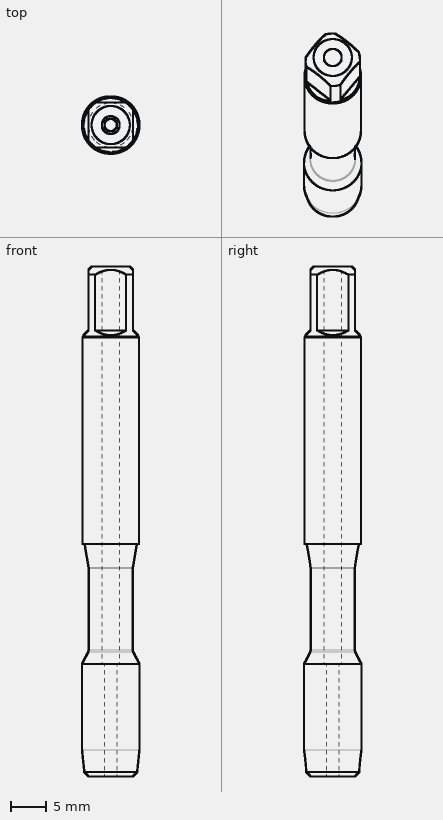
import cadquery as cq

TOTAL_LENGTH = 72.0
LEAD_CHAMFER_TOP_Z = 0.65
LEAD_TOP_Z = 3.75
HEAD_TOP_Z = 15.9
NECK_BOTTOM_Z = 17.7
NECK_TOP_Z = 29.45
SHANK_BOTTOM_Z = 32.8
SHANK_TOP_Z = 62.0
FLATS_BOTTOM_Z = 63.0

HEAD_DIAMETER = 8.1
LEAD_DIAMETER = 7.5
TIP_DIAMETER = 6.3
NECK_DIAMETER = 6.3
UPPER_TAPER_DIAMETER = 7.4
SHANK_DIAMETER = 8.0
DRIVE_DIAMETER = 7.7
DRIVE_END_DIAMETER = 5.4
SHANK_BORE_DIAMETER = 2.5
HEAD_BORE_DIAMETER = 1.7

SQUARE_WIDTH = 6.3
NECK_FILLET = 0.7
DRIVE_SIDES = 4

SHANK_CHAMFER = (SHANK_DIAMETER - DRIVE_DIAMETER) / 2
DRIVE_CHAMFER = (DRIVE_DIAMETER - DRIVE_END_DIAMETER) / 2


def revolved_body(profile):
    """Revolve (diameter, height) pairs about the tool axis."""
    points = [(diameter / 2, z) for diameter, z in profile]
    axis_points = [(0, points[0][1]), *points, (0, points[-1][1])]
    return cq.Workplane("XZ").polyline(axis_points).close().revolve(360, (0, 0), (0, 1))


def bore(diameter, bottom_z, top_z):
    """Round cutter along the tool axis."""
    return cq.Workplane("XY").workplane(offset=bottom_z).circle(diameter / 2).extrude(top_z - bottom_z)


def drive_flat_cutter():
    """Cutter for one flat, with a 45-degree run-out down to the shank."""
    inner_x = SQUARE_WIDTH / 2
    outer_x = SHANK_DIAMETER
    return (
        cq.Workplane("XZ")
        .moveTo(inner_x, TOTAL_LENGTH)
        .lineTo(inner_x, FLATS_BOTTOM_Z)
        .lineTo(outer_x, FLATS_BOTTOM_Z - (outer_x - inner_x))
        .lineTo(outer_x, TOTAL_LENGTH)
        .close()
        .extrude(SHANK_DIAMETER, both=True)
    )


def make_head():
    """Cylindrical cutting head with a tapered lead and a chamfered tip."""
    blank = revolved_body([
        (TIP_DIAMETER, 0),
        (LEAD_DIAMETER, LEAD_CHAMFER_TOP_Z),
        (HEAD_DIAMETER, LEAD_TOP_Z),
        (HEAD_DIAMETER, HEAD_TOP_Z),
    ])
    return blank.cut(bore(HEAD_BORE_DIAMETER, 0, HEAD_TOP_Z))


def make_shank():
    """Neck, shank and square drive, bored through down to the head."""
    blank = revolved_body([
        (HEAD_DIAMETER, HEAD_TOP_Z),
        (NECK_DIAMETER, NECK_BOTTOM_Z),
        (NECK_DIAMETER, NECK_TOP_Z),
        (UPPER_TAPER_DIAMETER, SHANK_BOTTOM_Z),
        (SHANK_DIAMETER, SHANK_BOTTOM_Z),
        (SHANK_DIAMETER, SHANK_TOP_Z),
        (DRIVE_DIAMETER, SHANK_TOP_Z + SHANK_CHAMFER),
        (DRIVE_DIAMETER, TOTAL_LENGTH - DRIVE_CHAMFER),
        (DRIVE_END_DIAMETER, TOTAL_LENGTH),
    ])
    neck_ends = cq.selectors.BoxSelector(
        (-SHANK_DIAMETER, -SHANK_DIAMETER, NECK_BOTTOM_Z - NECK_FILLET),
        (SHANK_DIAMETER, SHANK_DIAMETER, NECK_TOP_Z + NECK_FILLET),
    )
    body = blank.edges("%CIRCLE").edges(neck_ends).fillet(NECK_FILLET)
    flat = drive_flat_cutter()
    for side in range(DRIVE_SIDES):
        body = body.cut(flat.rotate((0, 0, 0), (0, 0, 1), side * 360 / DRIVE_SIDES))
    return body.cut(bore(SHANK_BORE_DIAMETER, HEAD_TOP_Z, TOTAL_LENGTH))


head = make_head()
shank = make_shank()
result = cq.Compound.makeCompound([head.val(), shank.val()])